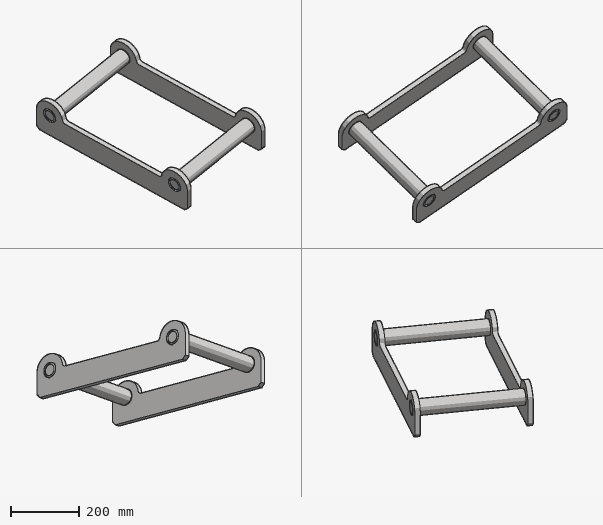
import cadquery as cq
import math

frame_length = 573.97
frame_width = 355.08
plate_height = 126.81

plate_thickness = 16.5
lug_radius = 50.0
lug_fillet = 10.0
corner_chamfer = 11.0

bar_diameter = 50.0
tenon_diameter = 46.0
tenon_chamfer = 6.0

axis_x = frame_length / 2 - lug_radius
plate_bottom_z = lug_radius - plate_height
plate_inner_y = frame_width / 2 - plate_thickness


def side_plate(front_y):
    """Plate with two round lugs joined by a straight top edge, from front_y towards +Y."""
    half_length = frame_length / 2
    fillet_offset = math.sqrt((lug_radius + lug_fillet) ** 2 - lug_fillet**2)
    fillet_x = axis_x - fillet_offset
    contact_angle = math.atan2(lug_fillet, fillet_offset)
    contact_x = axis_x - lug_radius * math.cos(contact_angle)
    contact_z = lug_radius * math.sin(contact_angle)
    middle_angle = (math.pi / 2 - contact_angle) / 2
    fillet_middle_x = fillet_x + lug_fillet * math.sin(middle_angle)
    fillet_middle_z = lug_fillet * (1 - math.cos(middle_angle))

    outline = (
        cq.Workplane("XZ", origin=(0, front_y, 0))
        .moveTo(-half_length + corner_chamfer, plate_bottom_z)
        .lineTo(half_length - corner_chamfer, plate_bottom_z)
        .lineTo(half_length, plate_bottom_z + corner_chamfer)
        .lineTo(half_length, 0)
        .threePointArc((axis_x, lug_radius), (contact_x, contact_z))
        .threePointArc((fillet_middle_x, fillet_middle_z), (fillet_x, 0))
        .lineTo(-fillet_x, 0)
        .threePointArc((-fillet_middle_x, fillet_middle_z), (-contact_x, contact_z))
        .threePointArc((-axis_x, lug_radius), (-half_length, 0))
        .lineTo(-half_length, plate_bottom_z + corner_chamfer)
        .close()
    )
    plate = outline.extrude(-plate_thickness)
    tenon_holes = (
        cq.Workplane("XZ", origin=(0, front_y, 0))
        .pushPoints([(-axis_x, 0), (axis_x, 0)])
        .circle(tenon_diameter / 2)
        .extrude(-plate_thickness)
    )
    return plate.cut(tenon_holes)


def cross_bar(center_x):
    """Round bar between the plates, with a chamfered tenon at each end flush with the plate faces."""
    tenons = (
        cq.Workplane("XZ", origin=(center_x, -frame_width / 2, 0))
        .circle(tenon_diameter / 2)
        .extrude(-frame_width)
        .faces("<Y or >Y")
        .chamfer(tenon_chamfer)
    )
    shaft = (
        cq.Workplane("XZ", origin=(center_x, -plate_inner_y, 0))
        .circle(bar_diameter / 2)
        .extrude(-2 * plate_inner_y)
    )
    return shaft.union(tenons)


side_plates = [side_plate(front_y) for front_y in (-frame_width / 2, plate_inner_y)]
cross_bars = [cross_bar(center_x) for center_x in (-axis_x, axis_x)]

result = cq.Compound.makeCompound([body.val() for body in side_plates + cross_bars])